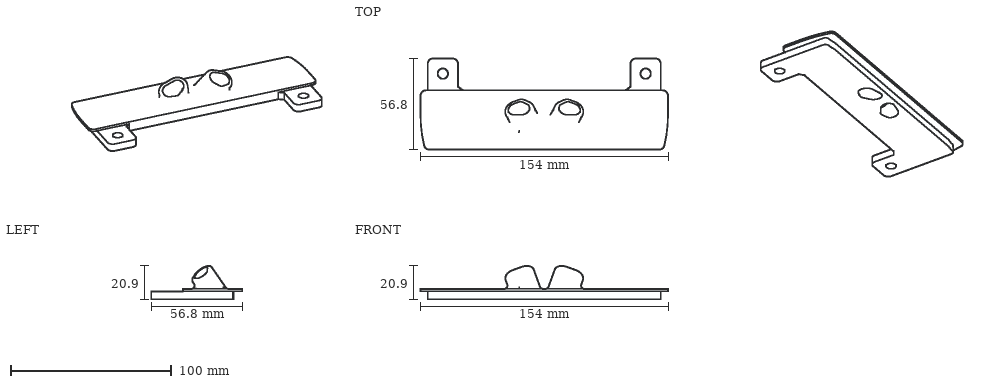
import cadquery as cq
import math

plate_width = 154.0
plate_depth = 37.0
plate_thickness = 1.5
plate_corner_radius = 3.5
side_arc_radius = 80.0
side_arc_start_y = 21.5

overall_depth = 56.8
body_thickness = 5.0
body_half_width = 72.55
body_front_y = 5.4
body_corner_setback = 0.7
setback_ramp_inner_x = 64.4
setback_ramp_outer_x = 68.1
body_front_radius = 2.6
tab_width = 19.0
tab_corner_radius = 3.5
tab_gusset_width = 3.0
tab_gusset_depth = 2.2
tab_hole_diameter = 6.3

overall_height = 20.86
socket_base_x = 12.1
socket_base_y = 18.35
socket_back_lean = 33.0
socket_side_lean = 20.0
socket_rim_fillet = 1.6
socket_base_fillet = 2.0

front_flat = 5.7
roof_angle = 24.0
mouth_side_radius = 4.1
mouth_ridge_radius = 2.35
socket_wall = 2.45
mouth_depth = 4.0
socket_side_radius = mouth_side_radius + socket_wall
socket_ridge_radius = mouth_ridge_radius + socket_wall

plate_top = plate_thickness
body_bottom = -body_thickness
socket_sink = 12.0
bore_overrun = 24.0


def make_plate():
    half_width = plate_width / 2
    arc_centre_x = half_width - side_arc_radius

    def arc_x(y):
        return arc_centre_x + math.sqrt(side_arc_radius**2 - (side_arc_start_y - y) ** 2)

    front_x = arc_x(0)
    middle_y = side_arc_start_y / 2
    middle_x = arc_x(middle_y)
    return (
        cq.Workplane("XY")
        .moveTo(-front_x, 0)
        .lineTo(front_x, 0)
        .threePointArc((middle_x, middle_y), (half_width, side_arc_start_y))
        .lineTo(half_width, plate_depth)
        .lineTo(-half_width, plate_depth)
        .lineTo(-half_width, side_arc_start_y)
        .threePointArc((-middle_x, middle_y), (-front_x, 0))
        .close()
        .extrude(plate_thickness)
        .edges("|Z and (<Y or >Y)")
        .fillet(plate_corner_radius)
    )


def make_body():
    tab_inner_x = body_half_width - tab_width
    corner_y = body_front_y + body_corner_setback
    right_half = [
        (setback_ramp_inner_x, body_front_y),
        (setback_ramp_outer_x, corner_y),
        (body_half_width, corner_y),
        (body_half_width, overall_depth),
        (tab_inner_x, overall_depth),
        (tab_inner_x, plate_depth + tab_gusset_depth),
        (tab_inner_x - tab_gusset_width, plate_depth),
    ]
    left_half = [(-x, y) for x, y in reversed(right_half)]
    body = cq.Workplane("XY").polyline(right_half + left_half).close().extrude(body_bottom)
    body = body.edges("|Z and >Y").fillet(tab_corner_radius)
    body = body.edges("|Z and (<X or >X) and (not >Y)").edges("<Y").fillet(body_front_radius)
    hole_x = body_half_width - tab_width / 2
    hole_y = overall_depth - tab_width / 2
    holes = (
        cq.Workplane("XY")
        .pushPoints([(-hole_x, hole_y), (hole_x, hole_y)])
        .circle(tab_hole_diameter / 2)
        .extrude(body_bottom)
    )
    return body.cut(holes)


def socket_length():
    """Axis length from the plate top to the rim plane that gives the overall height."""
    back = math.radians(socket_back_lean)
    side = math.radians(socket_side_lean)
    axis_rise = math.cos(back) * math.cos(side)
    radial_rise = math.sqrt(1 - axis_rise**2)
    rim_rise = (
        front_flat / 2 * math.sin(side)
        + (socket_side_radius - socket_rim_fillet) * radial_rise
        + socket_rim_fillet * (1 - axis_rise)
    )
    top_above_plate = overall_height - body_thickness - plate_thickness
    return (top_above_plate - rim_rise) / axis_rise


def place_socket(shape):
    """Move a shape built along Z onto the axis of the left socket."""
    return (
        shape.rotate((0, 0, 0), (1, 0, 0), -socket_back_lean)
        .rotate((0, 0, 0), (0, 1, 0), -socket_side_lean)
        .translate((-socket_base_x, socket_base_y, plate_top))
    )


def ridge_height(side_radius, ridge_radius):
    """Distance from the section's origin to the top of its rounded ridge."""
    slope = math.radians(roof_angle)
    sharp_ridge = (side_radius + front_flat / 2 * math.sin(slope)) / math.cos(slope)
    return sharp_ridge - ridge_radius * (1 / math.cos(slope) - 1)


def socket_section(side_radius, ridge_radius, height, shift_x=0):
    """Closed outline of the section on the plane at the given height along the socket axis."""
    slope = math.radians(roof_angle)
    arc_centre_x = front_flat / 2
    ridge_y = ridge_height(side_radius, ridge_radius)
    side_x = arc_centre_x + side_radius
    eaves_x = arc_centre_x + side_radius * math.sin(slope)
    eaves_y = side_radius * math.cos(slope)
    ridge_end_x = ridge_radius * math.sin(slope)
    ridge_end_y = ridge_y - ridge_radius * (1 - math.cos(slope))
    return (
        cq.Workplane("XY")
        .workplane(offset=height)
        .center(shift_x, 0)
        .moveTo(-arc_centre_x, -side_radius)
        .lineTo(arc_centre_x, -side_radius)
        .threePointArc((side_x, 0), (eaves_x, eaves_y))
        .lineTo(ridge_end_x, ridge_end_y)
        .threePointArc((0, ridge_y), (-ridge_end_x, ridge_end_y))
        .lineTo(-eaves_x, eaves_y)
        .threePointArc((-side_x, 0), (-arc_centre_x, -side_radius))
        .close()
    )


def make_socket_shell():
    section = socket_section(socket_side_radius, socket_ridge_radius, -socket_sink)
    shell = section.extrude(socket_sink + socket_length())
    shell = place_socket(shell.faces(">Z").edges().fillet(socket_rim_fillet))
    above_plate = (
        cq.Workplane("XY")
        .box(plate_width, 2 * plate_depth, overall_height, centered=(True, True, False))
        .translate((0, plate_depth / 2, 0))
    )
    return shell.intersect(above_plate)


def make_socket_bore():
    """A bore parallel to the socket, bending near the rim so that it opens centrally."""
    rim = socket_length()
    bend = rim - mouth_depth
    side = math.radians(socket_side_lean)
    bore_offset = -mouth_depth * math.tan(side) * math.cos(math.radians(socket_back_lean))
    rim_section = socket_section(mouth_side_radius, mouth_ridge_radius, rim).val()
    bend_section = socket_section(mouth_side_radius, mouth_ridge_radius, bend, bore_offset)
    mouth = cq.Solid.makeLoft([bend_section.val(), rim_section], True)
    bore = bend_section.extrude(-bend - bore_overrun)
    return place_socket(bore.union(cq.Workplane(mouth)))


def mirrored_pair(left):
    return left.union(left.mirror("YZ"))


def make_cover():
    cover = make_plate().union(mirrored_pair(make_socket_shell()))
    inset = plate_corner_radius / 2
    socket_zone = cq.selectors.BoxSelector(
        (-plate_width / 4, inset, plate_top - inset / 10),
        (plate_width / 4, plate_depth - inset, plate_top + inset / 10),
        boundingbox=True,
    )
    filleted = cover.edges(socket_zone).fillet(socket_base_fillet)
    return cq.Workplane(filleted.val().fix())


result = make_cover().union(make_body()).cut(mirrored_pair(make_socket_bore()))